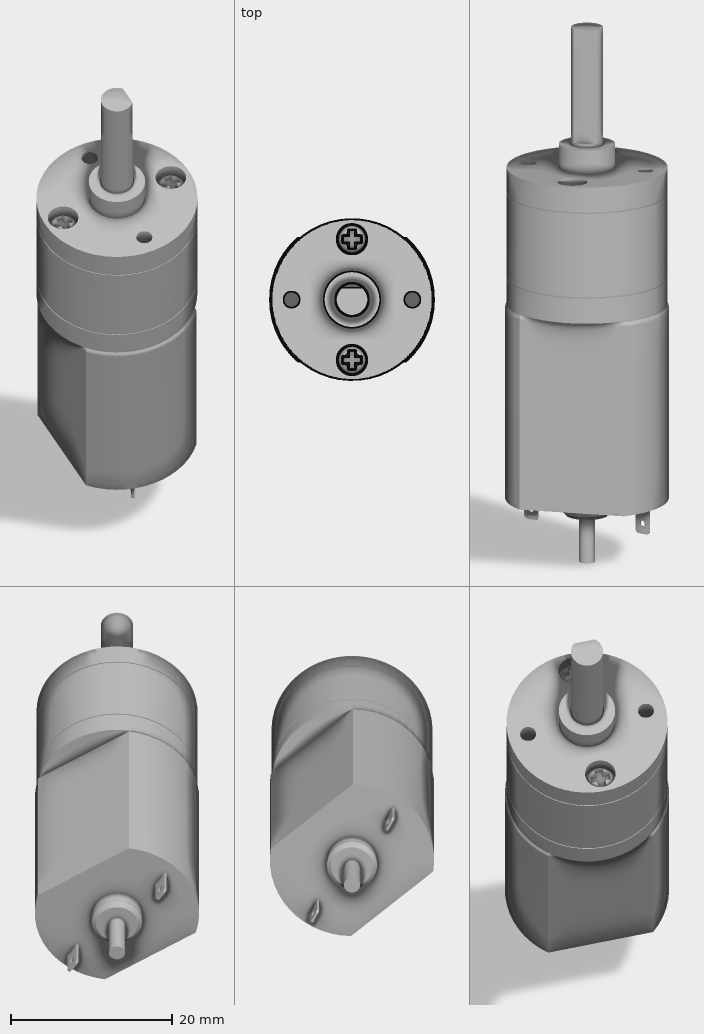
import cadquery as cq


can_diameter = 20.4
can_across_flats = 15.4
can_height = 25.0
can_edge_radius = 0.6

gearbox_diameter = 20.0
gearbox_height = 17.5
end_plate_thickness = 3.3
groove_width = 0.2
groove_depth = 0.1

boss_diameter = 7.0
boss_height = 3.0
boss_bore_diameter = 4.2
shaft_diameter = 4.0
shaft_length = 15.0
shaft_flat_offset = 1.5
shaft_round_length = 0.4

rear_boss_diameter = 6.2
rear_boss_height = 2.2
rear_boss_chamfer = 0.5
rear_shaft_diameter = 2.0
rear_shaft_length = 8.2

terminal_width = 2.0
terminal_thickness = 0.3
terminal_length = 3.7
terminal_corner = 0.3
terminal_hole_diameter = 0.8
terminal_hole_drop = 2.4
terminal_x = 7.55
terminal_y = 1.68
terminal_turn = 22.0

face_hole_offset = 7.5
mounting_hole_diameter = 2.0
mounting_hole_depth = end_plate_thickness
screw_pocket_diameter = 3.8
screw_pocket_depth = 2.0
screw_head_diameter = 3.5
screw_dome_height = 1.2
screw_crown_drop = 0.5
cross_floor_span = 2.2
cross_floor_width = 0.7
cross_depth = 1.1
cross_wall_slope = 14.0

gearbox_base_z = can_height
gearbox_top_z = gearbox_base_z + gearbox_height
boss_top_z = gearbox_top_z + boss_height


def cylinder(diameter, height, base_z, x=0.0, y=0.0):
    """Upright cylinder standing on base_z."""
    return cq.Workplane("XY", origin=(x, y, base_z)).circle(diameter / 2).extrude(height)


def motor_can():
    can = cylinder(can_diameter, can_height, 0)
    flats = cq.Workplane("XY").rect(can_diameter, can_across_flats).extrude(can_height)
    return can.intersect(flats).faces(">Z").edges().fillet(can_edge_radius)


def gearbox():
    drum = cylinder(gearbox_diameter, gearbox_height, gearbox_base_z)
    groove_centres = (
        gearbox_base_z + end_plate_thickness,
        gearbox_top_z - end_plate_thickness,
    )
    for centre_z in groove_centres:
        base_z = centre_z - groove_width / 2
        ring = cylinder(gearbox_diameter, groove_width, base_z)
        core = cylinder(gearbox_diameter - 2 * groove_depth, groove_width, base_z)
        drum = drum.cut(ring.cut(core))
    return drum


def output_shaft():
    """Boss with a D-shaft standing clear in its bore; the flat faces +Y and stops just above the boss."""
    boss = cylinder(boss_diameter, boss_height, gearbox_top_z)
    bore = cylinder(boss_bore_diameter, boss_height, gearbox_top_z)
    shaft = cylinder(shaft_diameter, boss_height + shaft_length, gearbox_top_z)
    flat_cutter = (
        cq.Workplane("XY", origin=(0, shaft_flat_offset, boss_top_z + shaft_round_length))
        .rect(shaft_diameter, shaft_diameter)
        .extrude(shaft_length)
        .translate((0, shaft_diameter / 2, 0))
    )
    return boss.cut(bore).union(shaft.cut(flat_cutter))


def rear_bearing():
    boss = cylinder(rear_boss_diameter, rear_boss_height, -rear_boss_height)
    boss = boss.faces("<Z").edges().chamfer(rear_boss_chamfer)
    shaft = cylinder(rear_shaft_diameter, rear_shaft_length, -rear_shaft_length)
    return boss.union(shaft)


def terminal():
    """Tag on the -X side of the motor, with clipped lower corners and a wire hole."""
    tag = (
        cq.Workplane("XY", origin=(0, 0, -terminal_length))
        .rect(terminal_width, terminal_thickness)
        .extrude(terminal_length)
        .faces("<Z")
        .edges("|Y")
        .chamfer(terminal_corner)
    )
    wire_hole = (
        cq.Workplane("XZ", origin=(0, 0, -terminal_hole_drop))
        .circle(terminal_hole_diameter / 2)
        .extrude(terminal_thickness, both=True)
    )
    turned = tag.cut(wire_hole).rotate((0, 0, 0), (0, 0, 1), -terminal_turn)
    return turned.translate((-terminal_x, terminal_y, 0))


def mounting_hole(x):
    base_z = gearbox_top_z - mounting_hole_depth
    return cylinder(mounting_hole_diameter, mounting_hole_depth, base_z, x=x)


def screw_pocket(y):
    base_z = gearbox_top_z - screw_pocket_depth
    return cylinder(screw_pocket_diameter, screw_pocket_depth, base_z, y=y)


def screw_head(y):
    """Domed head on the pocket floor, with a cross recess that widens upwards."""
    head_radius = screw_head_diameter / 2
    dome_radius = (head_radius**2 + screw_dome_height**2) / (2 * screw_dome_height)
    crown_z = gearbox_top_z - screw_crown_drop
    dome = cq.Workplane("XY", origin=(0, y, crown_z - dome_radius)).sphere(dome_radius)
    blank_height = screw_pocket_depth - screw_crown_drop
    blank = cylinder(screw_head_diameter, blank_height, crown_z - blank_height, y=y)
    head = blank.intersect(dome)
    arm = (cross_floor_span, cross_floor_width)
    for x_size, y_size in (arm, arm[::-1]):
        slot = (
            cq.Workplane("XY", origin=(0, y, crown_z - cross_depth))
            .rect(x_size, y_size)
            .extrude(cross_depth, taper=-cross_wall_slope)
        )
        head = head.cut(slot)
    return head


result = motor_can().union(gearbox()).union(output_shaft()).union(rear_bearing())
for turn in (0, 180):
    result = result.union(terminal().rotate((0, 0, 0), (0, 0, 1), turn))
for side in (-1, 1):
    offset = side * face_hole_offset
    result = result.cut(mounting_hole(offset))
    result = result.cut(screw_pocket(offset))
    result = result.union(screw_head(offset))